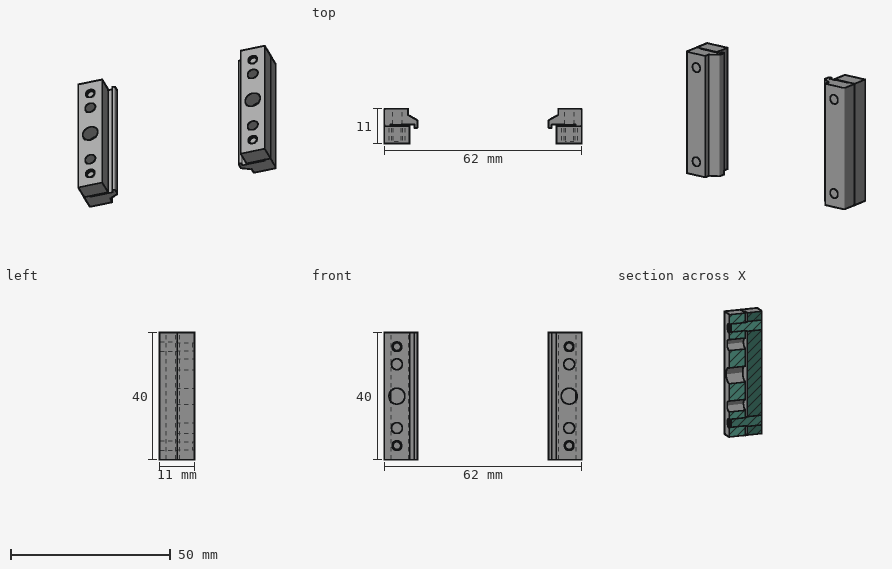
import cadquery as cq
overall_width = 62.0
bar_length = 40.0
half_width = overall_width / 2

base_width = 8.0
base_depth = 5.5
hole_x = base_width / 2
middle_hole_diameter = 5.0
side_hole_diameter = 3.4
side_hole_offset = 10.0

jaw_back = 11.0
jaw_body_width = 7.5
jaw_reach = 10.5
slope_start_y = 9.05
slope_end_y = 7.35
relief_y = 6.0
foot_width = 2.0
foot_outer_radius = relief_y - base_depth
lip_thickness = 1.0
lip_tip_y = 4.85
outer_edge_radius = 0.5
inner_edge_radius = 0.2

screw_offset = 15.5
screw_core_diameter = 2.46
screw_diameter = 3.0
screw_tip_y = 0.7
tapped_hole_chamfer = (screw_diameter - screw_core_diameter) / 2


def cylinder_along_y(diameter, start_y, end_y, z):
    return (
        cq.Workplane("XZ", origin=(hole_x, start_y, z))
        .circle(diameter / 2)
        .extrude(start_y - end_y)
    )


def make_countersink(z):
    cone = cq.Solid.makeCone(
        screw_diameter / 2,
        screw_core_diameter / 2,
        tapped_hole_chamfer,
        pnt=cq.Vector(hole_x, 0, z),
        dir=cq.Vector(0, 1, 0),
    )
    return cq.Workplane(cone)


def make_base():
    base = cq.Workplane("XY").box(base_width, base_depth, bar_length, centered=(False, False, True))
    base = base.cut(cylinder_along_y(middle_hole_diameter, 0, base_depth, 0))
    for side in (-1, 1):
        base = base.cut(cylinder_along_y(side_hole_diameter, 0, base_depth, side * side_hole_offset))
        screw_z = side * screw_offset
        base = base.cut(cylinder_along_y(screw_core_diameter, 0, base_depth, screw_z))
        base = base.cut(make_countersink(screw_z))
    return base


def round_edge(body, x, y, radius):
    """Fillet the upright edge that passes through (x, y)."""
    return body.edges(cq.selectors.NearestToPointSelector((x, y, 0))).fillet(radius)


def make_jaw():
    lip_inner_x = jaw_reach - lip_thickness
    jaw = (
        cq.Workplane("XY")
        .moveTo(0, relief_y)
        .radiusArc((foot_outer_radius, base_depth), -foot_outer_radius)
        .lineTo(foot_width, base_depth)
        .lineTo(foot_width, relief_y)
        .lineTo(lip_inner_x, relief_y)
        .lineTo(lip_inner_x, lip_tip_y)
        .lineTo(jaw_reach, lip_tip_y)
        .lineTo(jaw_reach, slope_end_y)
        .lineTo(jaw_body_width, slope_start_y)
        .lineTo(jaw_body_width, jaw_back)
        .lineTo(0, jaw_back)
        .close()
        .extrude(bar_length / 2, both=True)
    )

    outer_edges = [(0, jaw_back), (jaw_reach, slope_end_y), (jaw_reach, lip_tip_y)]
    for x, y in outer_edges:
        jaw = round_edge(jaw, x, y, outer_edge_radius)
    inner_edges = [
        (foot_width, base_depth),
        (foot_width, relief_y),
        (lip_inner_x, relief_y),
        (lip_inner_x, lip_tip_y),
    ]
    for x, y in inner_edges:
        jaw = round_edge(jaw, x, y, inner_edge_radius)
    for side in (-1, 1):
        jaw = jaw.cut(cylinder_along_y(screw_diameter, base_depth, jaw_back, side * screw_offset))
    return jaw


def make_screw(z):
    tip = cylinder_along_y(screw_core_diameter, screw_tip_y, base_depth, z)
    shank = cylinder_along_y(screw_diameter, base_depth, jaw_back, z)
    return tip.union(shank)


base = make_base()
jaw = make_jaw()
screws = [make_screw(side * screw_offset) for side in (-1, 1)]

solids = []
for body in [base, jaw, *screws]:
    left_body = body.translate((-half_width, 0, 0)).solids()
    right_body = left_body.mirror("YZ").solids()
    solids.extend([left_body.val(), right_body.val()])

result = cq.Compound.makeCompound(solids)